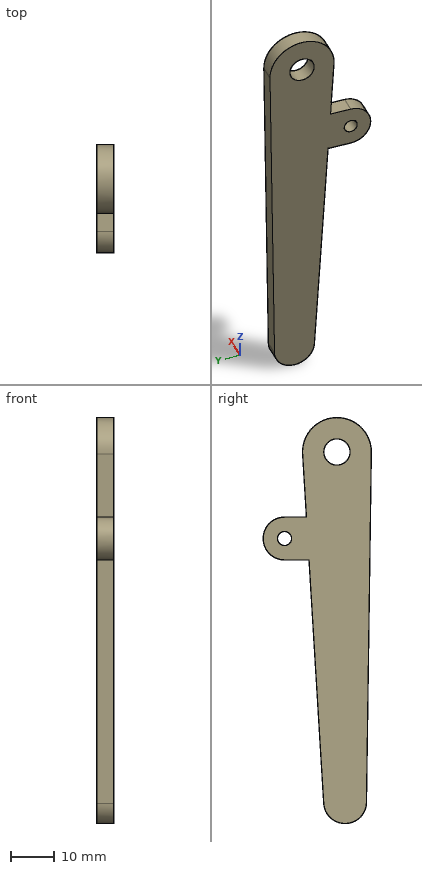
import cadquery as cq
import math

thickness = 4.0
overall_height = 94.2
overall_width = 25.2

pivot_radius = 8.0
pivot_hole_diameter = 6.0
tip_radius = 5.0
tip_offset = 1.9
lug_radius = 5.0
lug_hole_diameter = 3.2
lug_drop = 20.1

tip_drop = overall_height - pivot_radius - tip_radius
lug_reach = overall_width - pivot_radius - lug_radius

pivot = (0.0, 0.0)
tip = (tip_offset, -tip_drop)
lug = (-lug_reach, -lug_drop)


def point_on_circle(center, radius, angle):
    return (center[0] + radius * math.cos(angle), center[1] + radius * math.sin(angle))


def plate(sketch):
    return sketch.extrude(thickness / 2, both=True)


def arm():
    """Two rounded ends joined by their outer tangent lines."""
    axis_angle = math.atan2(tip[1], tip[0])
    spread = math.acos((pivot_radius - tip_radius) / math.hypot(*tip))
    plus_y = axis_angle + spread
    minus_y = axis_angle - spread
    return plate(
        cq.Workplane("YZ")
        .moveTo(*point_on_circle(pivot, pivot_radius, plus_y))
        .threePointArc(
            point_on_circle(pivot, pivot_radius, axis_angle + math.pi),
            point_on_circle(pivot, pivot_radius, minus_y),
        )
        .lineTo(*point_on_circle(tip, tip_radius, minus_y))
        .threePointArc(
            point_on_circle(tip, tip_radius, axis_angle),
            point_on_circle(tip, tip_radius, plus_y),
        )
        .close()
    )


def side_lug():
    """Round-ended tab whose straight root is buried in the arm."""
    return plate(
        cq.Workplane("YZ")
        .moveTo(pivot[0], lug[1] + lug_radius)
        .lineTo(lug[0], lug[1] + lug_radius)
        .threePointArc((lug[0] - lug_radius, lug[1]), (lug[0], lug[1] - lug_radius))
        .lineTo(pivot[0], lug[1] - lug_radius)
        .close()
    )


def through_hole(center, diameter):
    return plate(cq.Workplane("YZ").center(*center).circle(diameter / 2))


result = (
    arm()
    .union(side_lug())
    .cut(through_hole(pivot, pivot_hole_diameter))
    .cut(through_hole(lug, lug_hole_diameter))
)